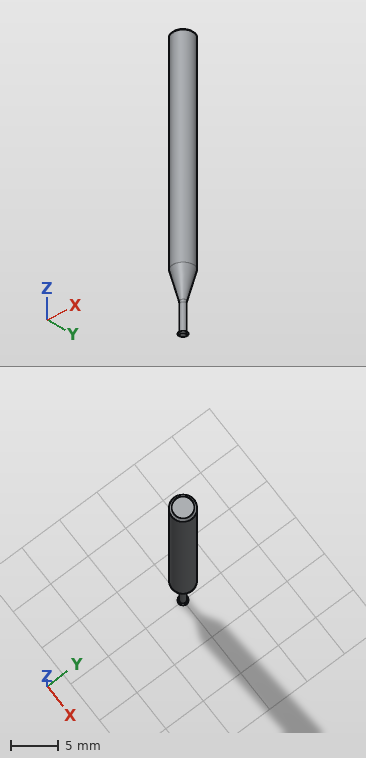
import cadquery as cq

total_length = 38.0
shank_radius = 3.0 / 2

chamfer_height = 0.3
chamfer_width = 0.3

taper_top = 8.3
taper_bottom = 4.3

collar_radius = 0.87 / 2
collar_bottom = 4.0
neck_radius = 0.8 / 2

head_radius = 1.18 / 2
head_height = 0.3
rim_height = head_height / 2

profile = [
    (0, 0),
    (neck_radius, 0),
    (head_radius, rim_height),
    (neck_radius, head_height),
    (neck_radius, collar_bottom),
    (collar_radius, taper_bottom),
    (shank_radius, taper_top),
    (shank_radius, total_length - chamfer_height),
    (shank_radius - chamfer_width, total_length),
    (0, total_length),
]

result = (
    cq.Workplane("XZ")
    .polyline(profile)
    .close()
    .revolve(360, (0, 0, 0), (0, 1, 0))
    .translate((0, 0, -total_length / 2))
)